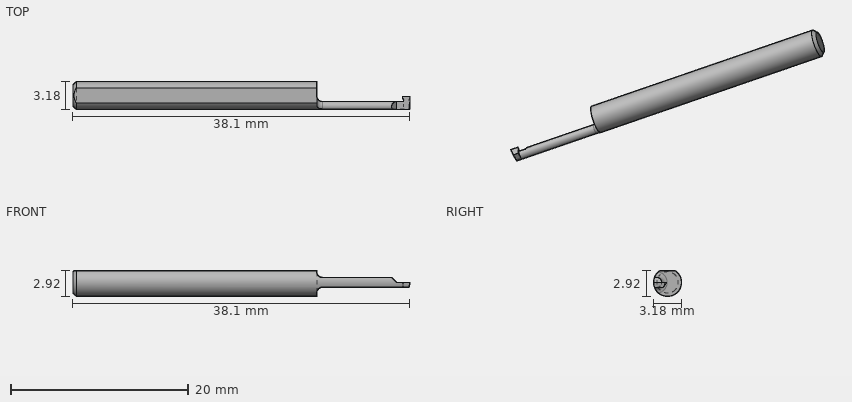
import cadquery as cq

total_length = 38.1
shank_diameter = 3.175
shank_radius = shank_diameter / 2
shank_length = 27.55
shank_chamfer = 0.38
overall_height = 2.92
flat_height = overall_height - shank_radius

neck_radius = 0.58
neck_offset = 1.25
neck_axis_y = -neck_offset
neck_fillet = 0.62
neck_inner_y = neck_axis_y + neck_radius

rake_height = 0.0
rake_ramp_start = 36.0
tooth_tip_y = -0.1
tooth_width = 0.88
tooth_back_x = total_length - tooth_width
undercut_depth = 0.12
undercut_height = 0.3
end_plan_angle = 2.0
end_relief_angle = 10.0
side_relief_angle = 35.0

tooth_tip = cq.Vector(total_length, tooth_tip_y, rake_height)

cutter_size = 2 * shank_diameter


def make_shank():
    """Chamfered cylinder with a clamping flat along its top."""
    shank = cq.Workplane("YZ").circle(shank_radius).extrude(shank_length)
    shank = shank.faces("<X").chamfer(shank_chamfer)
    above_flat = (
        cq.Workplane("XY", origin=(0, 0, flat_height))
        .rect(2 * total_length, cutter_size)
        .extrude(shank_radius)
    )
    return shank.cut(above_flat)


def make_neck():
    """Round neck, flared by a fillet where it meets the shank."""
    arc_offset = neck_fillet * (1 - 0.5**0.5)
    return (
        cq.Workplane("XZ", origin=(0, neck_axis_y, 0))
        .moveTo(shank_length, 0)
        .lineTo(shank_length, neck_radius + neck_fillet)
        .threePointArc(
            (shank_length + arc_offset, neck_radius + arc_offset),
            (shank_length + neck_fillet, neck_radius),
        )
        .lineTo(total_length, neck_radius)
        .lineTo(total_length, 0)
        .close()
        .revolve(360, (0, 0, 0), (1, 0, 0))
    )


def make_tooth():
    """Hook at the neck end, undercut behind its root."""
    undercut_x = tooth_back_x + undercut_depth
    return (
        cq.Workplane("XY", origin=(0, 0, -neck_radius))
        .moveTo(total_length, neck_axis_y)
        .lineTo(total_length, tooth_tip_y)
        .lineTo(tooth_back_x, tooth_tip_y)
        .lineTo(tooth_back_x, neck_inner_y + undercut_height)
        .lineTo(undercut_x, neck_inner_y + undercut_height)
        .lineTo(undercut_x, neck_axis_y)
        .close()
        .extrude(neck_radius + rake_height)
    )


def rake_cutter():
    """Space above the rake face, opened by a 45 degree ramp."""
    ramp_length = neck_radius - rake_height
    clearance = shank_radius
    return (
        cq.Workplane("XZ")
        .moveTo(rake_ramp_start - clearance, neck_radius + clearance)
        .lineTo(rake_ramp_start + ramp_length, rake_height)
        .lineTo(total_length + clearance, rake_height)
        .lineTo(total_length + clearance, neck_radius + clearance)
        .close()
        .extrude(cutter_size, both=True)
    )


def end_relief_cutter():
    """Space beyond the end face, which leans back downwards and towards -Y from the tooth tip."""
    return (
        cq.Workplane("XY")
        .box(cutter_size, cutter_size, cutter_size, centered=(False, True, True))
        .rotate((0, 0, 0), (0, 1, 0), end_relief_angle)
        .rotate((0, 0, 0), (0, 0, 1), -end_plan_angle)
        .translate(tooth_tip)
    )


def side_relief_cutter():
    """Space beside the tooth flank, which leans back downwards from the tooth tip."""
    return (
        cq.Workplane("XY")
        .box(cutter_size, cutter_size, cutter_size, centered=(True, False, True))
        .rotate((0, 0, 0), (1, 0, 0), -side_relief_angle)
        .translate(tooth_tip)
    )


envelope = cq.Workplane("YZ").circle(shank_radius).extrude(total_length)
tooth = make_tooth().cut(side_relief_cutter())
head = make_neck().cut(rake_cutter()).union(tooth)
head = head.cut(end_relief_cutter()).intersect(envelope)
result = make_shank().union(head)